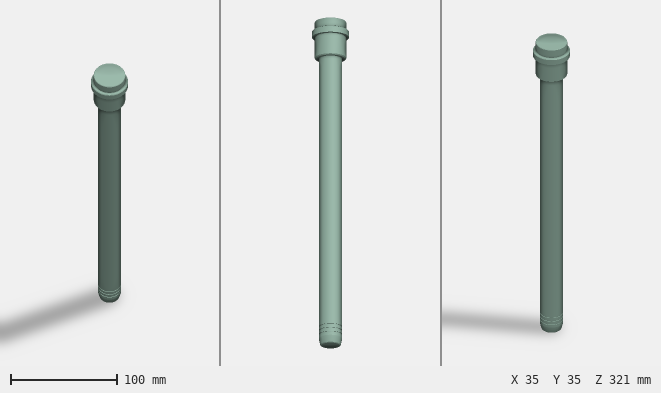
import cadquery as cq

total_length = 321.0
head_length = 36.5
head_bottom = total_length - head_length
collar_top = total_length - 9.0
collar_bottom = total_length - 15.0

collar_radius = 35.0 / 2
head_radius = 30.0 / 2
shaft_radius = 22.0 / 2
tip_radius = 9.5

head_chamfer = 1.0
top_chamfer = 0.48
collar_chamfer = 0.5
tip_chamfer = 0.5

relief_width = 1.0
relief_depth = 0.48

nose_length = 7.0
nose_bulge = 0.15

groove_count = 3
groove_pitch = 4.0
groove_width = 1.0
groove_depth = 0.5
first_groove_bottom = 10.0


def ring_groove(body_radius, depth, bottom, width):
    """Ring that cuts a square groove into a cylinder of the given radius."""
    return (
        cq.Workplane("XY")
        .workplane(offset=bottom)
        .circle(body_radius)
        .circle(body_radius - depth)
        .extrude(width)
    )


profile = (
    cq.Workplane("XZ")
    .lineTo(tip_radius - tip_chamfer, 0)
    .lineTo(tip_radius, tip_chamfer)
    .threePointArc(
        ((tip_radius + shaft_radius) / 2 + nose_bulge, (tip_chamfer + nose_length) / 2),
        (shaft_radius, nose_length),
    )
    .lineTo(shaft_radius, head_bottom)
    .lineTo(head_radius - head_chamfer, head_bottom)
    .lineTo(head_radius, head_bottom + head_chamfer)
    .lineTo(head_radius, collar_bottom)
    .lineTo(collar_radius, collar_bottom)
    .lineTo(collar_radius, collar_top - collar_chamfer)
    .lineTo(collar_radius - collar_chamfer, collar_top)
    .lineTo(head_radius, collar_top)
    .lineTo(head_radius, total_length - top_chamfer)
    .lineTo(head_radius - top_chamfer, total_length)
    .lineTo(0, total_length)
    .close()
)

result = profile.revolve(360, (0, 0, 0), (0, 1, 0))

for relief_bottom in (collar_top, collar_bottom - relief_width):
    result = result.cut(ring_groove(head_radius, relief_depth, relief_bottom, relief_width))

for index in range(groove_count):
    groove_bottom = first_groove_bottom + index * groove_pitch
    result = result.cut(ring_groove(shaft_radius, groove_depth, groove_bottom, groove_width))